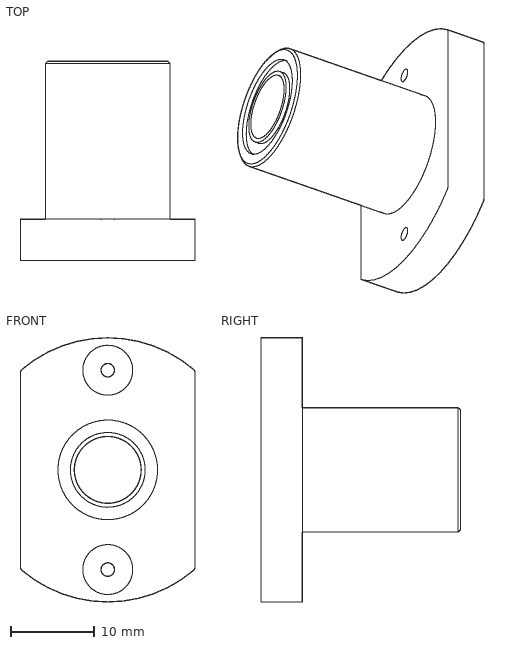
import cadquery as cq

flange_diameter = 31.8
flange_width = 21.0
flange_thickness = 5.0
flange_corner_radius = 0.5

total_length = 24.0
barrel_diameter = 15.0
barrel_end_chamfer = 0.3

housing_bore_diameter = 12.0
sleeve_diameter = 9.0
sleeve_bore_diameter = 8.0
core_recess = 0.5

mounting_hole_offset = 12.0
mounting_hole_diameter = 1.6
counterbore_diameter = 6.0
counterbore_depth = 1.75


def cylinder(diameter, start_y, length, center_z=0.0):
    """Solid cylinder running from start_y toward +Y."""
    plane = cq.Workplane("XZ", origin=(0, start_y, center_z))
    return plane.circle(diameter / 2).extrude(-length)


def tube(outer_diameter, inner_diameter, start_y, length):
    """Hollow cylinder on the main axis, running from start_y toward +Y."""
    plane = cq.Workplane("XZ", origin=(0, start_y, 0))
    return plane.circle(outer_diameter / 2).circle(inner_diameter / 2).extrude(-length)


def make_flange():
    disc = cylinder(flange_diameter, 0, flange_thickness)
    flats = cq.Workplane("XZ").rect(flange_width, flange_diameter).extrude(-flange_thickness)
    flange = disc.intersect(flats)
    return flange.edges("|Y").fillet(flange_corner_radius)


def make_housing():
    barrel = cylinder(barrel_diameter, 0, total_length).faces(">Y").edges().chamfer(barrel_end_chamfer)
    housing = make_flange().union(barrel)
    housing = housing.cut(cylinder(housing_bore_diameter, 0, total_length))
    for hole_z in (-mounting_hole_offset, mounting_hole_offset):
        housing = housing.cut(cylinder(mounting_hole_diameter, 0, flange_thickness, hole_z))
        housing = housing.cut(cylinder(counterbore_diameter, 0, counterbore_depth, hole_z))
    return housing


def make_bearing_core():
    """Filler ring between housing and sleeve, set back from both ends."""
    core_length = total_length - 2 * core_recess
    return tube(housing_bore_diameter, sleeve_diameter, core_recess, core_length)


def make_sleeve():
    return tube(sleeve_diameter, sleeve_bore_diameter, 0, total_length)


housing = make_housing()
bearing_core = make_bearing_core()
sleeve = make_sleeve()

result = cq.Compound.makeCompound([housing.solids().val(), bearing_core.val(), sleeve.val()])